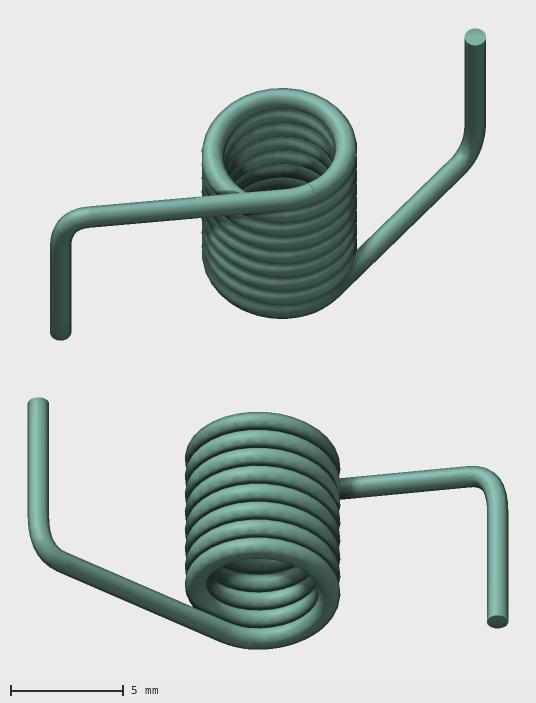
import cadquery as cq
import math

wire_diameter = 0.95
coil_outer_diameter = 6.91
coil_radius = (coil_outer_diameter - wire_diameter) / 2
overall_height = 8.98
coil_height = overall_height - wire_diameter
turns = 8
pitch = coil_height / turns

tip_x = -1.05
tip_offset = 10.465
bend_run = 1.28
bend_drop = 2.09
tip_length = 6.18

tip_distance = math.hypot(tip_x, tip_offset)
leg_angle = math.asin(coil_radius / tip_distance) + math.atan2(-tip_x, tip_offset)


def sweep_wire(path, start, direction):
    """Sweep the round wire section along a path that begins at start."""
    section = cq.Workplane(cq.Plane(origin=start, normal=direction)).circle(wire_diameter / 2)
    return section.sweep(cq.Workplane(obj=path), isFrenet=True)


def make_coil():
    """Left-handed close-wound coil that starts and ends on the +X side."""
    helix = cq.Wire.makeHelix(pitch, coil_height, coil_radius, lefthand=True)
    rise = pitch / (2 * math.pi)
    return sweep_wire(helix, (coil_radius, 0, 0), (0, -coil_radius, rise))


def make_top_leg():
    """Leg, bend and tip leaving the upper end of the coil toward -Y."""
    outward = cq.Vector(-math.sin(leg_angle), -math.cos(leg_angle), 0)
    down = cq.Vector(0, 0, -1)
    coil_tangent = cq.Vector(0, -1, 0)

    coil_end = cq.Vector(coil_radius, 0, coil_height)
    leg_start = cq.Vector(
        coil_radius * math.cos(leg_angle),
        -coil_radius * math.sin(leg_angle),
        coil_height,
    )
    corner = cq.Vector(tip_x, -tip_offset, coil_height)
    bend_start = corner - outward * bend_run
    bend_end = corner + down * bend_drop
    tip_end = bend_end + down * tip_length

    unwind = cq.Edge.makeTangentArc(coil_end, coil_tangent, leg_start)
    leg = cq.Edge.makeLine(leg_start, bend_start)
    bend = cq.Edge.makeSpline([bend_start, bend_end], tangents=[outward, down])
    tip = cq.Edge.makeLine(bend_end, tip_end)
    path = cq.Wire.assembleEdges([unwind, leg, bend, tip])
    return sweep_wire(path, coil_end, coil_tangent)


top_leg = make_top_leg()
bottom_leg = top_leg.rotate((0, 0, coil_height / 2), (1, 0, coil_height / 2), 180)
result = make_coil().union(top_leg).union(bottom_leg)